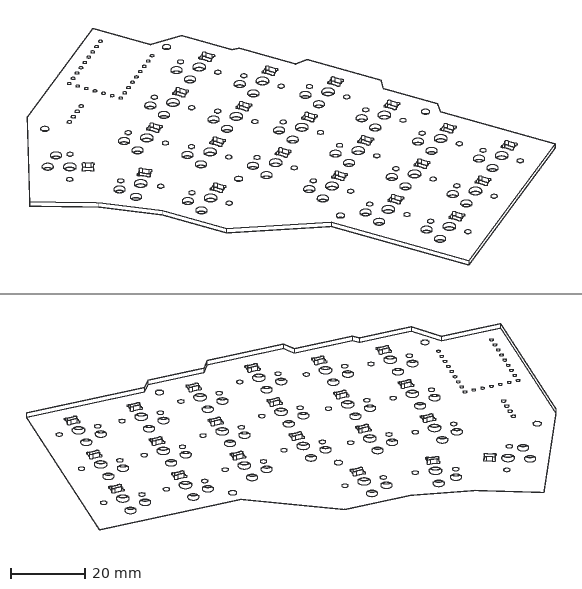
import cadquery as cq

BOARD_LENGTH = 134.0
BOARD_WIDTH = 87.51
BOARD_THICKNESS = 1.51

CONTROLLER_EDGE = 76.0
OUTER_COLUMN_EDGE = 81.6
FIRST_COLUMN_EDGE = 83.05
SIDE_COLUMN_EDGE = 84.46
KEY_FIELD_BOTTOM = 25.51
THUMB_BOTTOM = 11.31

BOARD_OUTLINE = [
    (0, 33.42),
    (0, CONTROLLER_EDGE),
    (16.98, CONTROLLER_EDGE),
    (23.01, FIRST_COLUMN_EDGE),
    (37.9, FIRST_COLUMN_EDGE),
    (39.37, SIDE_COLUMN_EDGE),
    (56.05, SIDE_COLUMN_EDGE),
    (58.04, BOARD_WIDTH),
    (79.9, BOARD_WIDTH),
    (81.93, SIDE_COLUMN_EDGE),
    (97.98, SIDE_COLUMN_EDGE),
    (100.14, OUTER_COLUMN_EDGE),
    (BOARD_LENGTH, OUTER_COLUMN_EDGE),
    (BOARD_LENGTH, KEY_FIELD_BOTTOM),
    (93.41, KEY_FIELD_BOTTOM),
    (68.95, THUMB_BOTTOM),
    (50.02, THUMB_BOTTOM),
    (32.97, 7.34),
    (15.95, 0),
]

KEY_PITCH_X = 18.0
KEY_PITCH_Y = 17.0
ROW_COUNT = 3
FIRST_KEY_X = 33.0
FIRST_KEY_Y = 37.0
COLUMN_STAGGER = [1.5, 3.0, 6.0, 3.0, 0.0, 0.0]

THUMB_KEYS = [
    (59.45, 21.75, 0),
    (39.75, 19.7, 12),
    (19.4, 18.45, -66),
]

CENTRE_HOLE_DIAMETER = 3.4
PEG_DIAMETER = 1.7
PEG_OFFSET = 5.5
CONTACT_DIAMETER = 3.0
CONTACT_POSITIONS = [(0, -5.95), (-5.0, -3.75)]
LED_LENGTH = 3.2
LED_WIDTH = 2.9
LED_OFFSET = 4.9
LED_RELIEF_DIAMETER = 1.0
LED_RELIEF_INSET = 0.3
LED_RELIEF_POSITIONS = [
    (x * (LED_LENGTH / 2 - LED_RELIEF_INSET), LED_OFFSET + y * (LED_WIDTH / 2 - LED_RELIEF_INSET))
    for x in (-1, 1)
    for y in (-1, 1)
]

PIN_PITCH = 2.54
CONTROLLER_PIN_DIAMETER = 1.0
CONTROLLER_X = 4.2
CONTROLLER_Y = 51.4
CONTROLLER_PINS_X = 7
CONTROLLER_PINS_Y = 9

HEADER_PIN_DIAMETER = 1.2
HEADER_X = 11.2
HEADER_Y = 36.2
HEADER_PINS = 4

MOUNTING_DIAMETER = 2.2
MOUNTING_POSITIONS = [(6.4, 30.75), (21.4, 76.85), (62.85, 32.45), (94.4, 29.2), (96.45, 79.95)]


def round_holes(positions, diameter):
    """Cutters for through holes of one diameter."""
    return cq.Workplane("XY").pushPoints(positions).circle(diameter / 2).extrude(BOARD_THICKNESS)


def key_cutter():
    """Cutter for one key, with the switch centre at the origin."""
    centre = round_holes([(0, 0)], CENTRE_HOLE_DIAMETER)
    pegs = round_holes([(-PEG_OFFSET, 0), (PEG_OFFSET, 0)], PEG_DIAMETER)
    contacts = round_holes(CONTACT_POSITIONS, CONTACT_DIAMETER)
    led_window = (
        cq.Workplane("XY")
        .center(0, LED_OFFSET)
        .rect(LED_LENGTH, LED_WIDTH)
        .extrude(BOARD_THICKNESS)
        .union(round_holes(LED_RELIEF_POSITIONS, LED_RELIEF_DIAMETER))
    )
    holes = centre.vals() + pegs.vals() + contacts.vals() + led_window.vals()
    return cq.Compound.makeCompound(holes)


def key_placements():
    """Centre and rotation of every key: the staggered columns, then the thumb keys."""
    placements = []
    for column, stagger in enumerate(COLUMN_STAGGER):
        for row in range(ROW_COUNT):
            x = FIRST_KEY_X + column * KEY_PITCH_X
            y = FIRST_KEY_Y + stagger + row * KEY_PITCH_Y
            placements.append((x, y, 0))
    return placements + THUMB_KEYS


def controller_pin_positions():
    """U-shaped pin row: both sides and the bottom."""
    positions = []
    for i in range(CONTROLLER_PINS_X):
        for j in range(CONTROLLER_PINS_Y):
            if j == 0 or i in (0, CONTROLLER_PINS_X - 1):
                positions.append((CONTROLLER_X + i * PIN_PITCH, CONTROLLER_Y + j * PIN_PITCH))
    return positions


def all_keys_cutter():
    """The key cutter copied to every key position."""
    cutter = key_cutter()
    up = cq.Vector(0, 0, 1)
    copies = []
    for x, y, angle in key_placements():
        copies.append(cutter.moved(cq.Location(cq.Vector(x, y, 0), up, angle)))
    return cq.Workplane(cq.Compound.makeCompound(copies))


def header_pin_positions():
    """Single straight row of header pins along Y."""
    return [(HEADER_X, HEADER_Y + i * PIN_PITCH) for i in range(HEADER_PINS)]


board = cq.Workplane("XY").polyline(BOARD_OUTLINE).close().extrude(BOARD_THICKNESS)
board = board.cut(all_keys_cutter())
board = board.cut(round_holes(controller_pin_positions(), CONTROLLER_PIN_DIAMETER))
board = board.cut(round_holes(header_pin_positions(), HEADER_PIN_DIAMETER))
board = board.cut(round_holes(MOUNTING_POSITIONS, MOUNTING_DIAMETER))

result = board